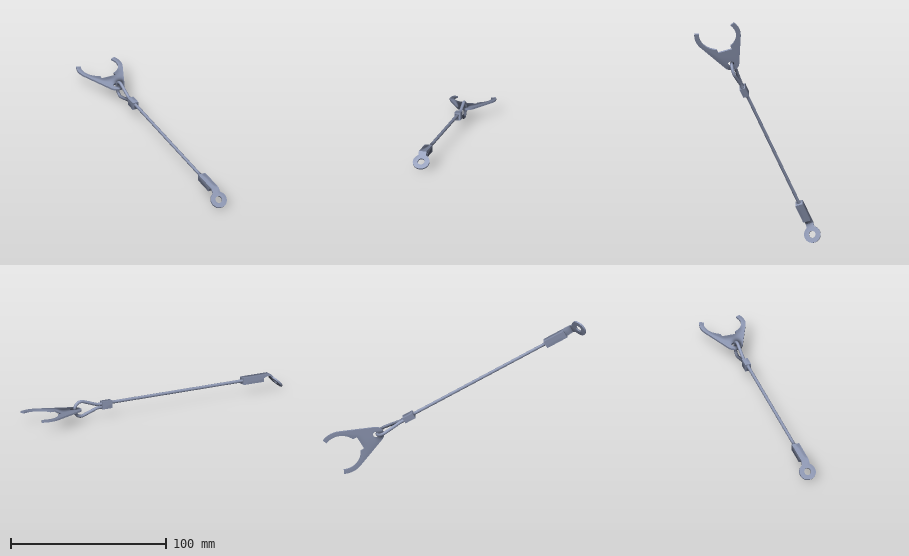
import cadquery as cq
import math

fork_thickness = 1.1
fork_outer_radius = 15.0
fork_inner_radius = 12.0
fork_center_x = 6.4
nose_center_x = 31.7
nose_radius = 5.2
nose_hole_diameter = 4.1
notch_end_x = 20.2
notch_width = 9.5

cable_diameter = 2.0
strand_z = 1.1
loop_radius = 4.9
loop_left_x = 32.6
loop_center_x = loop_left_x + loop_radius
strand_bend_x = 49.5
bend_setback = 1.0

ferrule_start_x = 52.7
ferrule_length = 7.3
ferrule_width = 4.0
ferrule_height = 5.0
ferrule_center_z = 0.28

terminal_start_x = 158.2
terminal_width = 5.0
terminal_top_z = 3.4
terminal_bottom_z = -1.1
block_end_x = 173.0
relief_start_z = 1.1
relief_end_x = 176.8
tab_bend_x = 178.1
tab_end_x = 187.5
tab_thickness = 1.1
tab_angle = 45.0
ring_diameter = 10.9
ring_hole_diameter = 4.5


def make_fork():
    flank_angle = math.asin((fork_outer_radius - nose_radius) / (nose_center_x - fork_center_x))
    flank_x = math.sin(flank_angle)
    flank_y = math.cos(flank_angle)
    arm_end = (fork_center_x + fork_outer_radius * flank_x, fork_outer_radius * flank_y)
    nose_start = (nose_center_x + nose_radius * flank_x, nose_radius * flank_y)

    tip_y = math.sqrt(fork_outer_radius**2 - fork_center_x**2)
    radius_ratio = fork_inner_radius / fork_outer_radius
    inner_tip = (fork_center_x * (1 - radius_ratio), tip_y * radius_ratio)

    fork = (
        cq.Workplane("XY", origin=(0, 0, -fork_thickness / 2))
        .moveTo(0, tip_y)
        .threePointArc((fork_center_x, fork_outer_radius), arm_end)
        .lineTo(*nose_start)
        .threePointArc((nose_center_x + nose_radius, 0), (nose_start[0], -nose_start[1]))
        .lineTo(arm_end[0], -arm_end[1])
        .threePointArc((fork_center_x, -fork_outer_radius), (0, -tip_y))
        .lineTo(inner_tip[0], -inner_tip[1])
        .threePointArc((fork_center_x + fork_inner_radius, 0), inner_tip)
        .close()
        .extrude(fork_thickness)
    )
    notch_length = notch_end_x - fork_center_x
    notch = cq.Workplane("XY").box(notch_length, notch_width, fork_thickness)
    notch = notch.translate((fork_center_x + notch_length / 2, 0, 0))
    hole = (
        cq.Workplane("XY", origin=(nose_center_x, 0, -fork_thickness / 2))
        .circle(nose_hole_diameter / 2)
        .extrude(fork_thickness)
    )
    return fork.cut(notch).cut(hole)


def make_cable():
    bend_run = strand_bend_x - loop_center_x
    bend_distance = math.hypot(bend_run, strand_z)
    tangent_angle = math.atan2(strand_z, bend_run) + math.acos(loop_radius / bend_distance)
    tangent_x = loop_center_x + loop_radius * math.cos(tangent_angle)
    tangent_z = loop_radius * math.sin(tangent_angle)

    level_x = strand_bend_x + bend_setback
    sloped_x = strand_bend_x - bend_setback * math.sin(tangent_angle)
    sloped_z = strand_z + bend_setback * math.cos(tangent_angle)

    ferrule_middle_x = ferrule_start_x + ferrule_length / 2
    path = (
        cq.Workplane("XZ")
        .moveTo(terminal_start_x, strand_z)
        .lineTo(level_x, strand_z)
        .tangentArcPoint((sloped_x, sloped_z), relative=False)
        .lineTo(tangent_x, tangent_z)
        .threePointArc((loop_left_x, 0), (tangent_x, -tangent_z))
        .lineTo(sloped_x, -sloped_z)
        .tangentArcPoint((level_x, -strand_z), relative=False)
        .lineTo(ferrule_middle_x, -strand_z)
    )
    rope = (
        cq.Workplane("YZ", origin=(terminal_start_x, 0, strand_z))
        .circle(cable_diameter / 2)
        .sweep(path)
    )
    ferrule = cq.Workplane("XY").box(ferrule_length, ferrule_width, ferrule_height)
    return rope.union(ferrule.translate((ferrule_middle_x, 0, ferrule_center_z)))


def make_terminal():
    sheet_bottom_z = terminal_top_z - tab_thickness
    tab_bend_radians = math.radians(tab_angle)
    tab_length = (tab_end_x - tab_bend_x) / math.cos(tab_bend_radians)
    inner_bend_x = tab_bend_x - tab_thickness * math.tan(tab_bend_radians / 2)

    relief_run = relief_end_x - block_end_x
    relief_rise = sheet_bottom_z - relief_start_z
    relief_radius = (relief_run**2 + relief_rise**2) / (2 * relief_rise)
    half_run = relief_run / 2
    arc_middle_z = sheet_bottom_z - relief_radius + math.sqrt(relief_radius**2 - half_run**2)

    tab_plane = cq.Plane(
        origin=(tab_bend_x, 0, terminal_top_z),
        xDir=(math.cos(tab_bend_radians), 0, -math.sin(tab_bend_radians)),
        normal=(math.sin(tab_bend_radians), 0, math.cos(tab_bend_radians)),
    )
    ring_center = tab_length - ring_diameter / 2
    neck_end_top = tab_plane.toWorldCoords((ring_center, 0, 0))
    neck_end_bottom = tab_plane.toWorldCoords((ring_center, 0, -tab_thickness))

    terminal = (
        cq.Workplane("XZ", origin=(0, terminal_width / 2, 0))
        .moveTo(terminal_start_x, terminal_bottom_z)
        .lineTo(block_end_x, terminal_bottom_z)
        .lineTo(block_end_x, relief_start_z)
        .threePointArc((relief_end_x - half_run, arc_middle_z), (relief_end_x, sheet_bottom_z))
        .lineTo(inner_bend_x, sheet_bottom_z)
        .lineTo(neck_end_bottom.x, neck_end_bottom.z)
        .lineTo(neck_end_top.x, neck_end_top.z)
        .lineTo(tab_bend_x, terminal_top_z)
        .lineTo(terminal_start_x, terminal_top_z)
        .close()
        .extrude(terminal_width)
    )
    ring = cq.Workplane(tab_plane).center(ring_center, 0)
    disc = ring.circle(ring_diameter / 2).extrude(-tab_thickness)
    hole = ring.circle(ring_hole_diameter / 2).extrude(-tab_thickness)
    return terminal.union(disc).cut(hole)


fork = make_fork().solids()
cable = make_cable().solids()
terminal = make_terminal().solids()

result = cq.Compound.makeCompound([fork.val(), cable.val(), terminal.val()])